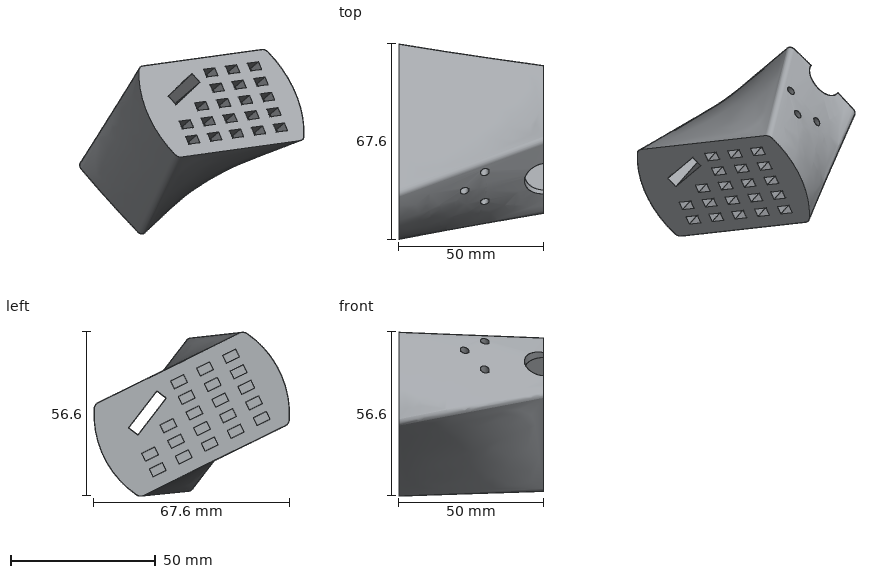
import cadquery as cq
import math

length = 50.0

vent_end_tilt = 26.2
vent_end_half_thickness = 17.88
vent_end_radius = 33.79
vent_end_corner_radius = 2.6

open_end_tilt = 52.5
open_end_half_thickness = 16.45
open_end_half_width = 22.15
open_end_bow_radius = 300.0
open_end_corner_radius = 2.0
open_end_shift = (-0.6, 0.5)

pocket_length = 5.0
pocket_height = 3.0
pocket_depth = 5.0
pocket_column_pitch = 10.0
pocket_row_pitch = 6.0
first_pocket_column = 21.0
pockets_per_row = (3, 3, 4, 5, 5)

slot_length = 16.0
slot_width = 4.0
slot_along = -9.0
slot_across = 12.4

cavity_depth = 29.0
cavity_half_width = 19.3
cavity_half_thickness = 11.0

screw_hole_diameter = 3.0
screw_hole_x = 29.7
screw_hole_spacing = 7.0
notch_radius = 6.6
notch_across = 0.4


def tilted_plane(x, tilt):
    """Plane normal to +X whose local x axis rises by tilt from -Y towards +Z."""
    angle = math.radians(tilt)
    along = (0, -math.cos(angle), math.sin(angle))
    return cq.Plane(origin=(x, 0, 0), xDir=along, normal=(-1, 0, 0))


def end_section(x, tilt, half_thickness, half_width, bow_radius, r, centre):
    """Wire with two flats, two bowed sides and four corners rounded to radius r."""
    bow_centre = half_width - bow_radius
    fillet_y = half_thickness - r
    reach = math.sqrt((bow_radius - r) ** 2 - fillet_y ** 2)
    fillet_x = bow_centre + reach
    bow_angle = math.atan2(fillet_y, reach)
    bow_x = fillet_x + r * math.cos(bow_angle)
    bow_y = fillet_y + r * math.sin(bow_angle)
    middle_angle = (bow_angle + math.pi / 2) / 2
    middle_x = fillet_x + r * math.cos(middle_angle)
    middle_y = fillet_y + r * math.sin(middle_angle)
    outline = (
        cq.Workplane(tilted_plane(x, tilt))
        .center(*centre)
        .moveTo(bow_x, -bow_y)
        .threePointArc((half_width, 0), (bow_x, bow_y))
        .threePointArc((middle_x, middle_y), (fillet_x, half_thickness))
        .lineTo(-fillet_x, half_thickness)
        .threePointArc((-middle_x, middle_y), (-bow_x, bow_y))
        .threePointArc((-half_width, 0), (-bow_x, -bow_y))
        .threePointArc((-middle_x, -middle_y), (-fillet_x, -half_thickness))
        .lineTo(fillet_x, -half_thickness)
        .threePointArc((middle_x, -middle_y), (bow_x, -bow_y))
        .close()
    )
    return outline.wire().val()


def twisted_body():
    """Straight-ruled body twisting from the vented end to the open end."""
    vent_end = end_section(
        0, vent_end_tilt, vent_end_half_thickness,
        vent_end_radius, vent_end_radius, vent_end_corner_radius, (0, 0),
    )
    open_end = end_section(
        length, open_end_tilt, open_end_half_thickness,
        open_end_half_width, open_end_bow_radius, open_end_corner_radius, open_end_shift,
    )
    return cq.Workplane(obj=cq.Solid.makeLoft([vent_end, open_end], True))


def vent_pockets():
    """Blind rectangular pockets, in rows that all start at the same column."""
    middle_row = (len(pockets_per_row) - 1) / 2
    places = []
    for row, count in enumerate(pockets_per_row):
        across = (middle_row - row) * pocket_row_pitch
        for column in range(count):
            places.append((first_pocket_column - column * pocket_column_pitch, across))
    return (
        cq.Workplane(tilted_plane(0, vent_end_tilt))
        .pushPoints(places)
        .rect(pocket_length, pocket_height)
        .extrude(-pocket_depth)
    )


def cable_slot():
    return (
        cq.Workplane(tilted_plane(0, open_end_tilt))
        .center(slot_along, slot_across)
        .rect(slot_length, slot_width)
        .extrude(-length)
    )


def cavity():
    return (
        cq.Workplane(tilted_plane(length, open_end_tilt))
        .rect(2 * cavity_half_width, 2 * cavity_half_thickness)
        .extrude(cavity_depth)
    )


def bowed_wall_openings():
    """Three screw holes and the half-round notch, drilled outwards from the cavity."""
    angle = math.radians(open_end_tilt)
    outward = (0, -math.cos(angle), math.sin(angle))
    wall = cq.Workplane(cq.Plane(origin=(0, 0, 0), xDir=(1, 0, 0), normal=outward))
    hole_places = [
        (screw_hole_x - screw_hole_spacing, 0),
        (screw_hole_x, screw_hole_spacing),
        (screw_hole_x, -screw_hole_spacing),
    ]
    holes = wall.pushPoints(hole_places).circle(screw_hole_diameter / 2).extrude(vent_end_radius)
    notch = wall.center(length, notch_across).circle(notch_radius).extrude(vent_end_radius)
    return holes.union(notch)


result = (
    twisted_body()
    .cut(vent_pockets())
    .cut(cable_slot())
    .cut(cavity())
    .cut(bowed_wall_openings())
)